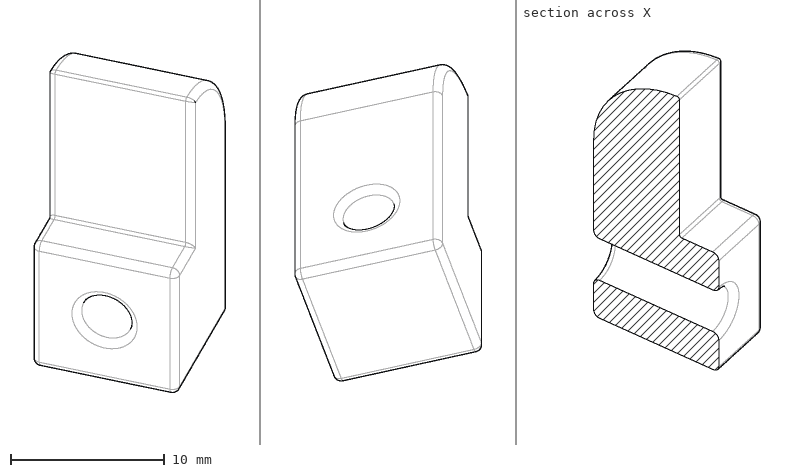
import cadquery as cq

width = 10.0
depth = 10.0
height = 21.85
block_height = 10.0
step_depth = 3.15
edge_radius = 0.5
small_radius = 0.2
hole_diameter = 3.5

upright_depth = depth - step_depth
front_y = -depth / 2
back_y = depth / 2
step_y = front_y + step_depth
arc_center_z = height - upright_depth
hole_z = block_height / 2


def make_body():
    """L-shaped side outline with a quarter-round top, extruded across the width."""
    diagonal = upright_depth * 0.5**0.5
    arc_middle = (step_y + diagonal, arc_center_z + diagonal)
    return (
        cq.Workplane("YZ")
        .moveTo(front_y, 0)
        .lineTo(back_y, 0)
        .lineTo(back_y, arc_center_z)
        .threePointArc(arc_middle, (step_y, height))
        .lineTo(step_y, block_height)
        .lineTo(front_y, block_height)
        .close()
        .extrude(width / 2, both=True)
    )


def edge_along_x(y, z):
    """Selector for the edge nearest to the given point on the middle plane."""
    return cq.selectors.NearestToPointSelector((0, y, z))


def round_edges(body):
    """Round the outer edges, with a smaller radius at the crest and the inner step corner."""
    crest = edge_along_x(step_y, height)
    inner_corner = edge_along_x(step_y, block_height)
    all_edges = cq.selectors.Selector()
    main_edges = all_edges - crest - inner_corner
    rounded = body.edges(main_edges).fillet(edge_radius)
    return rounded.edges(crest + inner_corner).fillet(small_radius)


def drill_hole(body):
    """Through hole along Y with a rounded mouth at each end."""
    hole = (
        cq.Workplane("XZ", origin=(0, back_y, hole_z))
        .circle(hole_diameter / 2)
        .extrude(depth)
    )
    front_rim = cq.selectors.NearestToPointSelector((0, front_y, hole_z))
    back_rim = cq.selectors.NearestToPointSelector((0, back_y, hole_z))
    return body.cut(hole).edges(front_rim + back_rim).fillet(edge_radius)


result = drill_hole(round_edges(make_body()))